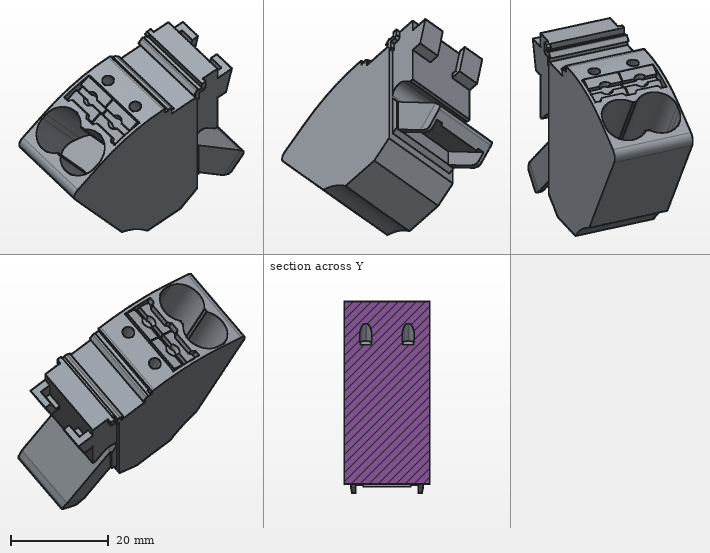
import cadquery as cq
import math


width = 17.5
height = 37.3
nose_y = -32.8
nose_radius = 1.95
face_slope = 30.0
face_sin = math.sin(math.radians(face_slope))
face_cos = math.cos(math.radians(face_slope))
face_tan = math.tan(math.radians(face_slope))
crown_start_y = -9.05
crown_apex_y = -9.8
crown_radius = 31.95
channel_floor_z = 34.1
channel_rear_y = 1.25
channel_front_y = -8.5
hook_tip_z = 36.22
hook_flank_z = 36.15
hook_base_z = 35.25
hook_edge_z = 35.95

carrier_width = 15.6
carrier_rear_y = 6.2
rail_hook_radius = 2.0
rail_hook_y = rail_hook_radius
rail_hook_z = 18.2

overlap = 0.25

crown_end_y = crown_apex_y - crown_radius * face_sin
crown_end_z = height - crown_radius * (1 - face_cos)
nose_center_y = nose_y + nose_radius
nose_top_y = nose_center_y - nose_radius * face_sin
nose_top_z = crown_end_z - (crown_end_y - nose_top_y) * face_tan
nose_center_z = nose_top_z - nose_radius * face_cos
nose_front_y = nose_center_y - nose_radius * face_cos
nose_front_z = nose_center_z - nose_radius * face_sin


def face_height(y):
    """Height of the sloped front face at a given Y."""
    return crown_end_z - (crown_end_y - y) * face_tan


def sloped_plane(y, z):
    """Plane parallel to the front face: local x along X, local y uphill."""
    return cq.Plane(origin=(0, y, z), xDir=(1, 0, 0), normal=(0, -face_sin, face_cos))


def centered_prism(outline, size):
    """Extrude a YZ outline symmetrically about X = 0."""
    return outline.extrude(size / 2, both=True)


def make_housing():
    """Full-width body with the sloped front and the label channel on top."""
    crown_half = math.radians(face_slope / 2)
    crown_mid = (
        crown_apex_y - crown_radius * math.sin(crown_half),
        height - crown_radius * (1 - math.cos(crown_half)),
    )
    nose_mid_angle = math.radians(45 - face_slope)
    nose_mid = (
        nose_center_y - nose_radius * math.cos(nose_mid_angle),
        nose_center_z + nose_radius * math.sin(nose_mid_angle),
    )
    front_low_z = 5.3
    front_low_y = nose_front_y + (nose_front_z - front_low_z) * face_tan
    outline = (
        cq.Workplane("YZ")
        .moveTo(0, 3.1)
        .lineTo(-4.5, 0)
        .lineTo(-13.3, 0)
        .threePointArc((-16.7, 3.4), (front_low_y, front_low_z))
        .lineTo(nose_front_y, nose_front_z)
        .threePointArc(nose_mid, (nose_top_y, nose_top_z))
        .lineTo(crown_end_y, crown_end_z)
        .threePointArc(crown_mid, (crown_start_y, height))
        .lineTo(channel_front_y, height)
        .lineTo(channel_front_y, hook_edge_z)
        .lineTo(-7.65, hook_edge_z)
        .threePointArc((-7.35, hook_tip_z), (-7.1, hook_flank_z))
        .lineTo(-6.2, hook_base_z)
        .lineTo(-6.75, hook_base_z)
        .lineTo(-6.75, channel_floor_z)
        .lineTo(-0.4, channel_floor_z)
        .lineTo(-0.4, hook_base_z)
        .lineTo(-1.02, hook_base_z)
        .lineTo(-0.15, hook_flank_z)
        .threePointArc((0.15, hook_tip_z), (0.4, hook_edge_z))
        .lineTo(channel_rear_y, hook_edge_z)
        .lineTo(channel_rear_y, height)
        .lineTo(2.3, height)
        .lineTo(2.3, 35.5)
        .lineTo(1.65, 34.9)
        .lineTo(0.55, 34.9)
        .lineTo(0.55, 33.05)
        .lineTo(0, 33.05)
        .close()
    )
    return centered_prism(outline, width)


def make_channel_nubs():
    """Small catches over the channel, only at the -X end."""
    nub_length = 0.9
    nub_reach = 0.5
    nub_height = 0.7
    nub_base_reach = 0.35
    nubs = cq.Workplane("YZ")
    for wall_y, direction in ((channel_rear_y, -1), (channel_front_y, 1)):
        tip_y = wall_y + direction * nub_reach
        nub = (
            cq.Workplane("YZ", origin=(-width / 2, 0, 0))
            .moveTo(wall_y, height)
            .lineTo(tip_y, height - nub_reach)
            .lineTo(wall_y + direction * nub_base_reach, height - nub_height)
            .lineTo(wall_y, height - nub_height)
            .close()
            .extrude(nub_length)
        )
        nubs = nubs.add(nub)
    return nubs


def make_carrier():
    """Narrower rear block with the round hook for the mounting rail."""
    inside_y = -overlap
    inside_rear_y = 1.35
    inside_top_z = 35.4
    tail_z = 17.65
    tail_front_y = 5.5
    diagonal = rail_hook_radius * math.sqrt(0.5)
    outline = (
        cq.Workplane("YZ")
        .moveTo(inside_y, rail_hook_z)
        .lineTo(inside_y, inside_top_z)
        .lineTo(inside_rear_y, inside_top_z)
        .lineTo(inside_rear_y, height)
        .lineTo(carrier_rear_y, height)
        .lineTo(carrier_rear_y, tail_z)
        .lineTo(tail_front_y, tail_z)
        .lineTo(rail_hook_y + diagonal, rail_hook_z + diagonal)
        .threePointArc(
            (rail_hook_y, rail_hook_z + rail_hook_radius),
            (rail_hook_y - rail_hook_radius, rail_hook_z),
        )
        .close()
    )
    return centered_prism(outline, carrier_width)


def make_rear_lugs():
    """Two hollow lugs behind the carrier, open toward the middle."""
    top_rear = 10.05
    bottom_rear = 8.47
    floor_z = 27.45
    wall = 1.55
    floor_thickness = 1.3
    lug_inner_x = 3.0
    slope = (top_rear - bottom_rear) / (channel_floor_z - floor_z)
    outline = (
        cq.Workplane("YZ")
        .moveTo(carrier_rear_y, channel_floor_z)
        .lineTo(top_rear, channel_floor_z)
        .lineTo(bottom_rear, floor_z)
        .lineTo(carrier_rear_y, floor_z)
        .close()
    )
    pocket_floor_z = floor_z + floor_thickness
    pocket = (
        cq.Workplane("YZ")
        .moveTo(carrier_rear_y, channel_floor_z)
        .lineTo(top_rear - wall, channel_floor_z)
        .lineTo(bottom_rear - wall + slope * floor_thickness, pocket_floor_z)
        .lineTo(carrier_rear_y, pocket_floor_z)
        .close()
    )
    lugs = centered_prism(outline, carrier_width).cut(centered_prism(pocket, carrier_width - 2 * wall))
    gap = cq.Workplane("XY").box(2 * lug_inner_x, 2 * top_rear, 2 * height)
    return lugs.cut(gap)


foot_width = 14.75
foot_root_y = channel_rear_y
foot_root_z = 15.23
foot_thickness = 6.45
foot_taper_start = 16.05
foot_length = 18.55
foot_embed = foot_thickness
foot_origin = (0, foot_root_y, foot_root_z)
foot_side_plane = cq.Plane(origin=foot_origin, xDir=(0, 1, -1), normal=(1, 0, 0))
foot_face_plane = cq.Plane(origin=foot_origin, xDir=(1, 0, 0), normal=(0, 1, 1))


def foot_prism(points, size):
    """Prism across the foot from (length, -depth) points."""
    return centered_prism(cq.Workplane(foot_side_plane).polyline(points).close(), size)


def make_foot_blade():
    """Blade that tapers on all four sides toward its rounded tip."""
    side_taper = 0.3
    edge_taper = 0.395
    tip_radius = 1.0
    blade = foot_prism(
        [
            (-foot_embed, 0),
            (foot_taper_start, 0),
            (foot_length, -edge_taper),
            (foot_length, edge_taper - foot_thickness),
            (foot_taper_start, -foot_thickness),
            (-foot_embed, -foot_thickness),
        ],
        foot_width,
    )
    blade = blade.faces(">(0, 1, -1)").edges("|X").fillet(tip_radius)
    side_x = foot_width / 2
    tip_x = side_x - side_taper
    outline = (
        cq.Workplane(foot_face_plane)
        .polyline([
            (-side_x, -foot_embed),
            (-side_x, foot_taper_start),
            (-tip_x, foot_length),
            (tip_x, foot_length),
            (side_x, foot_taper_start),
            (side_x, -foot_embed),
        ])
        .close()
        .extrude(-foot_thickness)
    )
    return blade.intersect(outline)


def make_foot():
    """Blade hollowed from below between two legs, on a root block at the housing."""
    leg_thickness = 1.02
    plate_thickness = 3.3
    lip_width = 9.8
    lip_depth = 0.55
    hollow = foot_prism(
        [
            (-foot_embed, -plate_thickness),
            (foot_length, -plate_thickness),
            (foot_length, -foot_thickness),
            (-foot_embed, -foot_thickness),
        ],
        foot_width - 2 * leg_thickness,
    )
    lip = foot_prism(
        [
            (foot_length, -plate_thickness),
            (foot_length, -plate_thickness - lip_depth),
            (foot_length - lip_depth, -plate_thickness),
        ],
        lip_width,
    )
    behind_root = (
        cq.Workplane("XZ", origin=foot_origin)
        .rect(2 * width, 4 * foot_length)
        .extrude(-foot_length)
    )
    blade = make_foot_blade().cut(hollow).union(lip).intersect(behind_root)
    root_top_z = 17.3
    root_rear_low_z = 6.2
    root_low_z = 5.6
    root = (
        cq.Workplane("YZ")
        .moveTo(0, root_top_z)
        .lineTo(foot_root_y, foot_root_z)
        .lineTo(foot_root_y, root_rear_low_z)
        .lineTo(0, root_low_z)
        .lineTo(-overlap, root_low_z)
        .lineTo(-overlap, root_top_z)
        .close()
    )
    return blade.union(centered_prism(root, carrier_width))


lever_y = -17.85
lever_z = 35.65
lever_x = 3.9
lever_width = 7.65
lever_top = 3.1
lever_bottom = -3.3
pocket_width = 15.92
pocket_top = 3.25
pocket_bottom = -3.4
pocket_depth = 1.5
bump_height = 0.75
bump_half_top = 2.35
bump_half_base = 2.9
lever_plane = sloped_plane(lever_y, lever_z)
lever_centers = [(-lever_x, 0), (lever_x, 0)]


def make_lever_pocket():
    """Pocket whose lower wall bulges toward the middle of each lever."""
    side_x = pocket_width / 2
    bump_top = pocket_bottom + bump_height
    outline = [(-side_x, pocket_top), (-side_x, pocket_bottom)]
    for center in (-lever_x, lever_x):
        outline += [
            (center - bump_half_base, pocket_bottom),
            (center - bump_half_top, bump_top),
            (center + bump_half_top, bump_top),
            (center + bump_half_base, pocket_bottom),
        ]
    outline += [(side_x, pocket_bottom), (side_x, pocket_top)]
    floor = cq.Workplane(lever_plane).workplane(offset=-pocket_depth)
    return floor.polyline(outline).close().extrude(3 * pocket_depth)


def make_levers(pocket):
    """Lever plates with a cross groove and a conical dimple in it."""
    groove_width = 1.4
    groove_depth = 1.05
    dimple_radius = 1.5
    dimple_floor_radius = 1.02
    taper = math.degrees(math.atan((dimple_radius - dimple_floor_radius) / groove_depth))
    face = cq.Workplane(lever_plane)
    levers = (
        face.center(0, (lever_top + lever_bottom) / 2)
        .pushPoints(lever_centers)
        .rect(lever_width, lever_top - lever_bottom)
        .extrude(-pocket_depth)
    )
    groove = face.rect(pocket_width, groove_width).extrude(-groove_depth)
    dimples = face.pushPoints(lever_centers).circle(dimple_radius).extrude(-groove_depth, taper=taper)
    return levers.intersect(pocket).cut(groove).cut(dimples)


def make_wire_entries():
    """Two oblong funnels square to the sloped face, joined by a narrow neck."""
    entry_x = 3.75
    entry_width = 9.0
    entry_length = 10.1
    entry_y = -26.45
    entry_front_depth = 12.4
    neck_width = 0.7
    neck_length = 7.25
    above = 4.65
    deepest = entry_front_depth + entry_length
    top = cq.Workplane(sloped_plane(entry_y, face_height(entry_y))).workplane(offset=above)
    entries = (
        top.pushPoints([(-entry_x, 0), (entry_x, 0)])
        .slot2D(entry_length, entry_width, 90)
        .extrude(-deepest - above)
    )
    neck = top.rect(neck_width, neck_length).extrude(-deepest - above)
    side = cq.Plane(
        origin=(0, entry_y, face_height(entry_y)),
        xDir=(0, face_cos, face_sin),
        normal=(1, 0, 0),
    )
    half = entry_length / 2
    floor_limit = centered_prism(
        cq.Workplane(side).polyline([
            (-half, above), (-half, -entry_front_depth), (half, -deepest), (half, above)
        ]).close(),
        width,
    )
    return entries.union(neck).intersect(floor_limit)


def make_test_holes():
    """Two slightly oblong holes that lean toward the rear as they go down."""
    hole_x = 4.35
    hole_y = -12.8
    hole_tilt = 25.0
    hole_length = 2.4
    hole_width = 2.25
    depth = 9.3
    above = 0.95
    tilt = math.radians(hole_tilt)
    surface_z = height - crown_radius + math.sqrt(crown_radius**2 - (hole_y - crown_apex_y) ** 2)
    plane = cq.Plane(
        origin=(0, hole_y, surface_z),
        xDir=(1, 0, 0),
        normal=(0, -math.sin(tilt), math.cos(tilt)),
    )
    return (
        cq.Workplane(plane)
        .workplane(offset=above)
        .pushPoints([(-hole_x, 0), (hole_x, 0)])
        .slot2D(hole_length, hole_width)
        .extrude(-depth - above)
    )


lever_pocket = make_lever_pocket()
result = (
    make_housing()
    .union(make_channel_nubs())
    .union(make_carrier())
    .union(make_rear_lugs())
    .union(make_foot())
    .cut(lever_pocket)
    .union(make_levers(lever_pocket))
    .cut(make_wire_entries())
    .cut(make_test_holes())
)